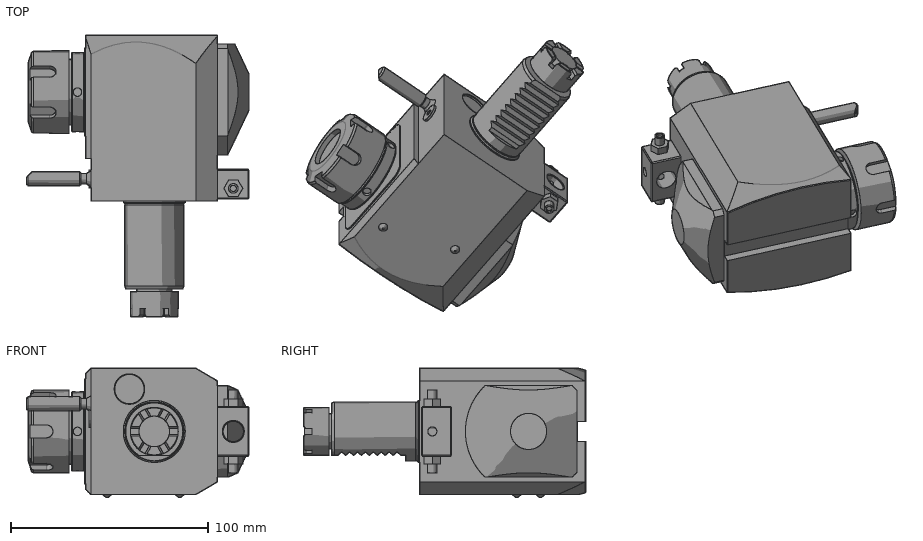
import cadquery as cq
import math


overall_length = 143.0

half_width = 32.0
back_y = 84.2
step_y = 21.5
step_height = 2.7
slope_x = 11.0
slope_z = 6.5
crown_x = -9.3
crown_radius = 154.5
crown_drop = 0.9
crown_angle = 15.0
back_bevel = 0.5
key_width = 10.0
key_depth = 4.1
left_x = -half_width - step_height

spindle_y = 55.2
pad_height = 0.6
pad_length = 44.6
pad_width = 53.2
pad_corner = 5.6
pad_x = left_x - pad_height
spindle_neck_radius = 16.7
ring_back_x = -35.9
ring_front_x = -41.9
ring_radius = 20.2
ring_bevel = 0.5
ring_hole_radius = 2.1
ring_hole_depth = 2.1
ring_hole_count = 4
nut_back_x = -43.2
nut_front_x = -63.9
nut_radius = 21.0
nut_rim_radius = 20.5
nut_cone_length = 1.7
nut_rim_length = 1.1
nut_face_radius = 14.9
nut_bore_radius = 10.5
nut_bore_depth = 2.6
nut_slot_count = 6
nut_slot_width = 6.5
nut_slot_floor = 17.7
nut_slot_length = 12.6
nut_upper_slot_length = 14.2

flange_radius = 15.7
flange_length = 1.3
relief_end = 2.0
relief_radius = 14.9
shank_radius = 15.0
shank_end = 44.6
shank_bevel_length = 1.6
shank_bevel = 0.6
rack_start = 7.2
rack_level = -12.2
rack_pitch = 4.0
rack_depth = 1.7
rack_first_groove = 11.5
rack_groove_count = 8
drive_neck_radius = 9.0
drive_start = 45.9
drive_end = overall_length - back_y
drive_radius = 12.2
drive_tip_bevel = 0.3
drive_core_radius = 7.7
drive_core_recess = 0.5
drive_slot_count = 6
drive_slot_width = 3.0
drive_slot_mouth = 4.9
drive_mouth_depth = 1.1
drive_slot_depth = 4.3

recess_x = -12.6
recess_z = 21.5
recess_radius = 7.5
recess_depth = 1.1
recess_bevel = 0.3

nozzle_y = 11.3
nozzle_z = 14.0
nozzle_tip_x = -64.8
nozzle_radius = 3.6
nozzle_tip_bevel = 0.9
nozzle_cut = 2.9
nozzle_outlet_radius = 0.9
nozzle_outlet_offset = 1.9
nozzle_outlet_depth = 4.3
nozzle_back_x = -37.0
nozzle_back_bevel = 0.7
nozzle_neck_radius = 2.7
nozzle_neck_back_x = -34.3
nozzle_base_radius = 4.1
plug_z = 6.6
plug_radius = 4.6
plug_height = 1.1
plug_socket_radius = 1.5
plug_socket_depth = 0.7

outer_x = 48.0
cover_radius = 32.0
cover_rim_x = 37.2
cover_tip_radius = 9.2
cover_half_height = 23.2
cover_back_y = 79.7
cover_bevel_x = 37.5
cover_bevel_length = 3.6
cover_bevel_drop = 1.6

coolant_front_y = 1.0
coolant_back_y = 16.2
coolant_half_height = 12.6
coolant_bevel = 0.6
coolant_hole_x = 40.0
coolant_hole_radius = 5.1
coolant_hole_bevel = 0.5
cross_bore_radius = 2.3
fitting_y = 6.5
fitting_hex_corners = 9.6
fitting_hex_height = 3.9
fitting_radius = 2.5
fitting_top = 21.0
fitting_bore_radius = 1.6
fitting_bore_depth = 1.5

screw_places = [(-23.9, 61.2), (12.9, 49.2)]
screw_radius = 2.3
screw_tip_radius = 0.5
screw_height = 1.6


def turned_x(profile, y, z):
    """Solid turned about an axis parallel to X; profile points are (x, radius)."""
    closed = [(profile[0][0], 0)] + profile + [(profile[-1][0], 0)]
    solid = cq.Workplane("XY").polyline(closed).close().revolve(360, (0, 0, 0), (1, 0, 0))
    return solid.translate((0, y, z))


def turned_y(profile):
    """Solid turned about the Y axis; profile points are (distance in -Y, radius)."""
    points = [(radius, -distance) for distance, radius in profile]
    closed = [(0, points[0][1])] + points + [(0, points[-1][1])]
    return cq.Workplane("XY").polyline(closed).close().revolve(360, (0, 0, 0), (0, 1, 0))


def box(x_range, y_range, z_range):
    """Block spanning the given (low, high) ranges."""
    sizes = [high - low for low, high in (x_range, y_range, z_range)]
    corner = (x_range[0], y_range[0], z_range[0])
    return cq.Workplane("XY").box(*sizes, centered=False).translate(corner)


def crown():
    """Large turned body whose cone slopes the top of the housing down toward the back."""
    growth = back_y * math.tan(math.radians(crown_angle))
    profile = [
        (0, crown_radius + growth),
        (-back_y + back_bevel, crown_radius),
        (-back_y, crown_radius - back_bevel),
    ]
    return turned_y(profile).translate((crown_x, 0, half_width - crown_drop - crown_radius))


def housing():
    slope_start = half_width - slope_x
    side_top = half_width - slope_z
    step_top = half_width - step_height
    outline = [
        (left_x, -step_top),
        (-half_width, -half_width),
        (slope_start, -half_width),
        (half_width, -side_top),
        (half_width, side_top),
        (slope_start, half_width),
        (-half_width, half_width),
        (left_x, step_top),
    ]
    body = cq.Workplane("XZ").polyline(outline).close().extrude(-back_y)
    body = body.faces(">Y").chamfer(back_bevel)
    all_z = (-half_width, half_width)
    body = body.cut(box((left_x, -half_width), (0, step_y), all_z))
    body = body.intersect(crown()).intersect(crown().mirror("XY"))
    half_key = key_width / 2
    key = box((left_x, half_width), (back_y - key_depth, back_y), (-half_key, half_key))
    recess = turned_y(
        [
            (-recess_depth, recess_radius),
            (-recess_bevel, recess_radius),
            (0, recess_radius + recess_bevel),
        ]
    ).translate((recess_x, 0, recess_z))
    return body.cut(key).cut(recess)


def spindle_pad():
    pad = cq.Workplane("YZ").rect(pad_length, pad_width).extrude(pad_height)
    return pad.edges("|X").fillet(pad_corner).translate((pad_x, spindle_y, 0))


def spindle_ring():
    profile = [
        (pad_x, ring_radius - ring_bevel),
        (ring_back_x, ring_radius - ring_bevel),
        (ring_back_x, ring_radius),
        (ring_front_x + ring_bevel, ring_radius),
        (ring_front_x, ring_radius - ring_bevel),
        (ring_front_x, spindle_neck_radius),
        (nut_back_x, spindle_neck_radius),
    ]
    ring = turned_x(profile, 0, 0)
    hole = (
        cq.Workplane("XY")
        .circle(ring_hole_radius)
        .extrude(2 * ring_hole_depth)
        .translate(((ring_back_x + ring_front_x) / 2, 0, ring_radius - ring_hole_depth))
    )
    for index in range(ring_hole_count):
        ring = ring.cut(hole.rotate((0, 0, 0), (1, 0, 0), index * 360 / ring_hole_count))
    return ring.translate((0, spindle_y, 0))


def nut_slot(length):
    """Slot on the +Y side of the nut, open at the front face and round at its inner end."""
    return (
        cq.Workplane("XZ")
        .center(nut_front_x, 0)
        .slot2D(2 * length, nut_slot_width)
        .extrude(nut_slot_floor - nut_radius)
        .translate((0, nut_slot_floor, 0))
    )


def spindle_nut():
    profile = [
        (nut_back_x, nut_radius),
        (nut_front_x + nut_cone_length + nut_rim_length, nut_radius),
        (nut_front_x + nut_cone_length, nut_rim_radius),
        (nut_front_x, nut_face_radius),
        (nut_front_x, nut_bore_radius),
        (nut_front_x + nut_bore_depth, nut_bore_radius),
    ]
    nut = turned_x(profile, 0, 0)
    for index in range(nut_slot_count):
        angle = index * 360 / nut_slot_count
        length = nut_upper_slot_length if 0 < angle < 180 else nut_slot_length
        nut = nut.cut(nut_slot(length).rotate((0, 0, 0), (1, 0, 0), angle))
    return nut.translate((0, spindle_y, 0))


def shank():
    profile = [
        (0, flange_radius),
        (flange_length / 2, flange_radius),
        (flange_length, relief_radius),
        (relief_end, relief_radius),
        (relief_end, shank_radius),
        (shank_end - shank_bevel_length, shank_radius),
        (shank_end, shank_radius - shank_bevel),
    ]
    body = turned_y(profile)
    across = (-shank_radius, shank_radius)
    body = body.cut(box(across, (-shank_end, -rack_start), (-flange_radius, rack_level)))
    groove = (
        cq.Workplane("YZ")
        .polyline([(-rack_pitch / 2, rack_level), (0, rack_level + rack_depth), (rack_pitch / 2, rack_level)])
        .close()
        .extrude(shank_radius, both=True)
    )
    for index in range(rack_groove_count):
        body = body.cut(groove.translate((0, -rack_first_groove - index * rack_pitch, 0)))
    return body


def shank_nut():
    slot_start = drive_end - drive_slot_depth
    profile = [
        (shank_end, drive_neck_radius),
        (drive_start, drive_neck_radius),
        (drive_start, drive_radius),
        (drive_end - drive_tip_bevel, drive_radius),
        (drive_end, drive_radius - drive_tip_bevel),
        (drive_end, drive_core_radius),
        (drive_end - drive_core_recess, drive_core_radius),
    ]
    nut = turned_y(profile)
    half_slot = drive_slot_width / 2
    half_mouth = drive_slot_mouth / 2
    mouth_start = drive_end - drive_mouth_depth
    outline = [
        (-slot_start, -half_slot),
        (-slot_start, half_slot),
        (-mouth_start, half_slot),
        (-drive_end, half_mouth),
        (-drive_end, -half_mouth),
        (-mouth_start, -half_slot),
    ]
    slot = cq.Workplane("YZ").polyline(outline).close().extrude(drive_radius)
    slot = slot.cut(turned_y([(0, drive_core_radius), (drive_end, drive_core_radius)]))
    for index in range(drive_slot_count):
        nut = nut.cut(slot.rotate((0, 0, 0), (0, 1, 0), index * 360 / drive_slot_count))
    return nut


def nozzle():
    profile = [
        (-half_width, nozzle_base_radius),
        (nozzle_neck_back_x, nozzle_neck_radius),
        (nozzle_back_x, nozzle_neck_radius),
        (nozzle_back_x, nozzle_radius - nozzle_back_bevel),
        (nozzle_back_x - nozzle_back_bevel, nozzle_radius),
        (nozzle_tip_x + nozzle_tip_bevel, nozzle_radius),
        (nozzle_tip_x, nozzle_radius - nozzle_tip_bevel),
    ]
    body = turned_x(profile, 0, 0)
    tip_cut = (
        cq.Workplane("XY")
        .moveTo(nozzle_tip_x, nozzle_radius)
        .lineTo(nozzle_tip_x + nozzle_cut, nozzle_radius)
        .lineTo(nozzle_tip_x, nozzle_radius - nozzle_cut)
        .close()
        .extrude(nozzle_radius, both=True)
    )
    outlet = (
        cq.Workplane("YZ")
        .center(nozzle_outlet_offset, 0)
        .circle(nozzle_outlet_radius)
        .extrude(nozzle_outlet_depth)
        .translate((nozzle_tip_x, 0, 0))
    )
    return body.cut(tip_cut).cut(outlet).translate((0, nozzle_y, nozzle_z))


def plug():
    front_x = -half_width - plug_height
    profile = [
        (-half_width, plug_radius),
        (front_x, plug_radius),
        (front_x, plug_socket_radius),
        (front_x + plug_socket_depth, plug_socket_radius),
    ]
    return turned_x(profile, nozzle_y, plug_z)


def cover():
    profile = [(half_width, cover_radius), (cover_rim_x, cover_radius), (outer_x, cover_tip_radius)]
    disc = turned_x(profile, spindle_y, 0)
    bevel_ratio = cover_bevel_drop / cover_bevel_length
    end_height = cover_half_height - (outer_x - cover_bevel_x) * bevel_ratio
    outline = [
        (half_width, -cover_half_height),
        (cover_bevel_x, -cover_half_height),
        (outer_x, -end_height),
        (outer_x, end_height),
        (cover_bevel_x, cover_half_height),
        (half_width, cover_half_height),
    ]
    return disc.intersect(cq.Workplane("XZ").polyline(outline).close().extrude(-cover_back_y))


def fitting():
    stem_length = fitting_top - coolant_half_height
    return (
        cq.Workplane("XY")
        .polygon(6, fitting_hex_corners)
        .extrude(fitting_hex_height)
        .union(cq.Workplane("XY").circle(fitting_radius).extrude(stem_length))
        .faces(">Z")
        .workplane()
        .circle(fitting_bore_radius)
        .cutBlind(-fitting_bore_depth)
        .translate((coolant_hole_x, fitting_y, coolant_half_height))
    )


def coolant_block():
    z_range = (-coolant_half_height, coolant_half_height)
    block = box((half_width, outer_x), (coolant_front_y, coolant_back_y), z_range)
    block = block.edges("not <X").chamfer(coolant_bevel)
    hole = turned_y(
        [
            (-coolant_back_y, coolant_hole_radius),
            (-coolant_front_y - coolant_hole_bevel, coolant_hole_radius),
            (-coolant_front_y, coolant_hole_radius + coolant_hole_bevel),
        ]
    ).translate((coolant_hole_x, 0, 0))
    fitting_bores = cq.Workplane("XY").circle(cross_bore_radius).extrude(coolant_half_height, both=True)
    side_bore = cq.Workplane("YZ").circle(cross_bore_radius).extrude(outer_x - coolant_hole_x)
    bores = fitting_bores.union(side_bore).translate((coolant_hole_x, fitting_y, 0))
    return block.cut(hole).cut(bores).union(fitting()).union(fitting().mirror("XY"))


def bottom_screw(x, y):
    base = cq.Vector(x, y, -half_width)
    point = cq.Solid.makeCone(screw_radius, screw_tip_radius, screw_height, base, cq.Vector(0, 0, -1))
    return cq.Workplane(obj=point)


result = housing()
for feature in (spindle_pad, spindle_ring, spindle_nut, shank, shank_nut, nozzle, plug, cover, coolant_block):
    result = result.union(feature())
for place in screw_places:
    result = result.union(bottom_screw(*place))